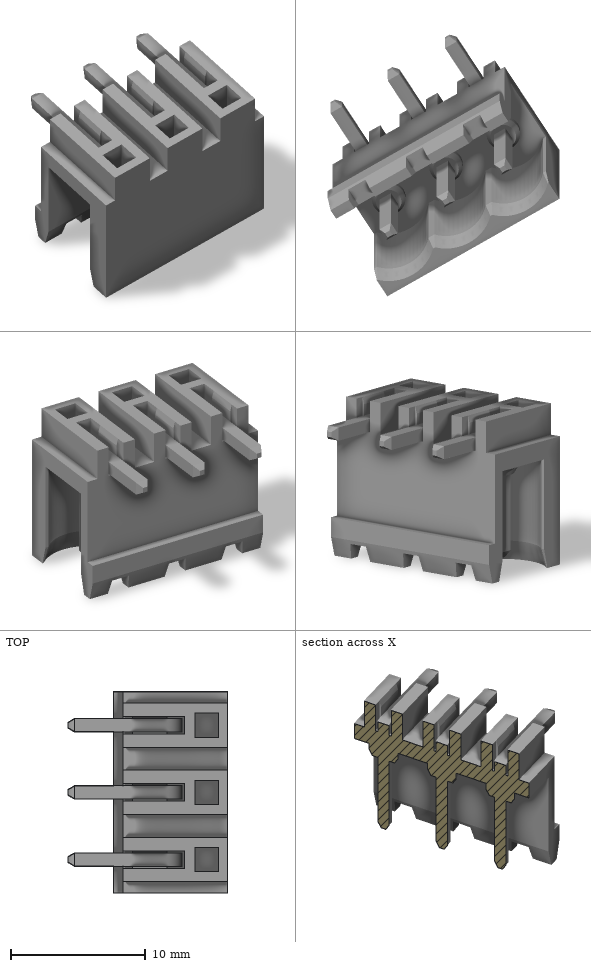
import cadquery as cq
import math


pin_count = 3
row_width = 15.0
pitch = row_width / pin_count
height = 12.2
overall_depth = 11.9

body_depth = 7.8
back_x = body_depth / 2
front_x = -body_depth / 2
ledge_z = height - 2.4
ceiling_z = 8.37
back_leg = 1.9
front_leg = 0.9
hook_reach = 0.7
hook_height = 3.0
taper_height = 1.5
taper_run = taper_height * math.tan(math.radians(15))

tower_width = 3.3
slot_width = 1.3
slot_end_x = 0.68
window_depth = 1.74
window_width = 1.8
window_x = 2.34
rib_front_x = -3.16
rib_back_x = -0.63
rib_lead_in = 0.52

pin_size = 1.0
pin_bottom_z = 0.92
pin_front_x = back_x - overall_depth
pin_taper = 0.51
pin_tip_size = 0.4

collar_diameter = 2.5
collar_height = 1.02
collar_chamfer_height = 0.51
collar_chamfer_inset = 0.3

bore_radius = 3.0
bore_flare_height = 1.5
bore_flare = bore_flare_height * math.tan(math.radians(15))
notch_height = 1.2
notch_top_width = 1.47
notch_bottom_width = 1.82


def block(x_min, x_max, y_width, z_min, z_max):
    """Box centred on Y = 0."""
    return (
        cq.Workplane("XY")
        .box(x_max - x_min, y_width, z_max - z_min, centered=(False, True, False))
        .translate((x_min, 0, z_min))
    )


def make_housing():
    """Two-legged channel with a hooked front leg, running the full row width."""
    hook_x = front_x - hook_reach
    front_inner_x = front_x + front_leg
    back_inner_x = back_x - back_leg
    section = [
        (front_x, ledge_z),
        (front_x, hook_height),
        (hook_x, hook_height),
        (hook_x, taper_height),
        (hook_x + taper_run, 0),
        (front_inner_x - taper_run, 0),
        (front_inner_x, taper_height),
        (front_inner_x, ceiling_z),
        (back_inner_x, ceiling_z),
        (back_inner_x, taper_height),
        (back_inner_x + taper_run, 0),
        (back_x, 0),
        (back_x, ledge_z),
    ]
    return cq.Workplane("XZ").polyline(section).close().extrude(row_width / 2, both=True)


def make_rib():
    """Rib on the +Y slot wall that touches the pin, sloped at its top."""
    wall_y = slot_width / 2
    pin_y = pin_size / 2
    profile = [
        (wall_y, ledge_z),
        (pin_y, ledge_z),
        (pin_y, height - rib_lead_in),
        (wall_y, height),
    ]
    rib = cq.Workplane("YZ").polyline(profile).close().extrude(rib_back_x - rib_front_x)
    return rib.translate((rib_front_x, 0, 0))


def make_tower():
    """Block on the ledge with a pin slot, its two ribs and a blind square window."""
    tower = block(front_x, back_x, tower_width, ledge_z, height)
    tower = tower.cut(block(front_x, slot_end_x, slot_width, ledge_z, height))
    window_start = window_x - window_depth / 2
    window_end = window_x + window_depth / 2
    tower = tower.cut(block(window_start, window_end, window_width, ledge_z, height))
    rib = make_rib()
    return tower.union(rib).union(rib.mirror("XZ"))


def make_tip(plane):
    """Tapered pin end, growing along the plane normal from its full-size face."""
    base = plane.rect(pin_size, pin_size)
    return base.workplane(offset=pin_taper).rect(pin_tip_size, pin_tip_size).loft()


def make_pin():
    """Square pin bent through a right angle, with a tapered tip at each end."""
    half = pin_size / 2
    top_z = ledge_z + pin_size
    shank_front_x = pin_front_x + pin_taper
    shank_bottom_z = pin_bottom_z + pin_taper
    outline = (
        cq.Workplane("XZ")
        .moveTo(shank_front_x, ledge_z)
        .lineTo(shank_front_x, top_z)
        .lineTo(-half, top_z)
        .radiusArc((half, ledge_z), pin_size)
        .lineTo(half, shank_bottom_z)
        .lineTo(-half, shank_bottom_z)
        .lineTo(-half, ledge_z)
        .close()
    )
    pin = outline.extrude(half, both=True)
    front_plane = cq.Plane((shank_front_x, 0, ledge_z + half), xDir=(0, 1, 0), normal=(-1, 0, 0))
    bottom_plane = cq.Plane((0, 0, shank_bottom_z), xDir=(1, 0, 0), normal=(0, 0, -1))
    pin = pin.union(make_tip(cq.Workplane(front_plane)))
    return pin.union(make_tip(cq.Workplane(bottom_plane)))


def make_collar():
    """Round collar around the pin, chamfered at its lower end."""
    ceiling = cq.Workplane("XY").workplane(offset=ceiling_z)
    collar = ceiling.circle(collar_diameter / 2).extrude(-collar_height)
    return collar.faces("<Z").chamfer(collar_chamfer_height, collar_chamfer_inset)


def make_bore():
    """Round clearance about the pin, flared towards the open underside."""
    profile = [
        (0, 0),
        (bore_radius + bore_flare, 0),
        (bore_radius, bore_flare_height),
        (bore_radius, ceiling_z),
        (0, ceiling_z),
    ]
    return cq.Workplane("XZ").polyline(profile).close().revolve(360, (0, 0), (0, 1))


def make_notch():
    """Trapezoidal notch through the bottom of the front leg."""
    profile = [
        (-notch_bottom_width / 2, 0),
        (notch_bottom_width / 2, 0),
        (notch_top_width / 2, notch_height),
        (-notch_top_width / 2, notch_height),
    ]
    notch = cq.Workplane("YZ").polyline(profile).close().extrude(hook_reach + front_leg)
    return notch.translate((front_x - hook_reach, 0, 0))


tower = make_tower()
pin = make_pin()
collar = make_collar()
bore = make_bore()
notch = make_notch()
pin_positions = [(index - (pin_count - 1) / 2) * pitch for index in range(pin_count)]

result = make_housing()
for y in pin_positions:
    shift = (0, y, 0)
    result = result.cut(bore.translate(shift)).cut(notch.translate(shift))
for y in pin_positions:
    shift = (0, y, 0)
    for feature in (tower, collar, pin):
        result = result.union(feature.translate(shift))